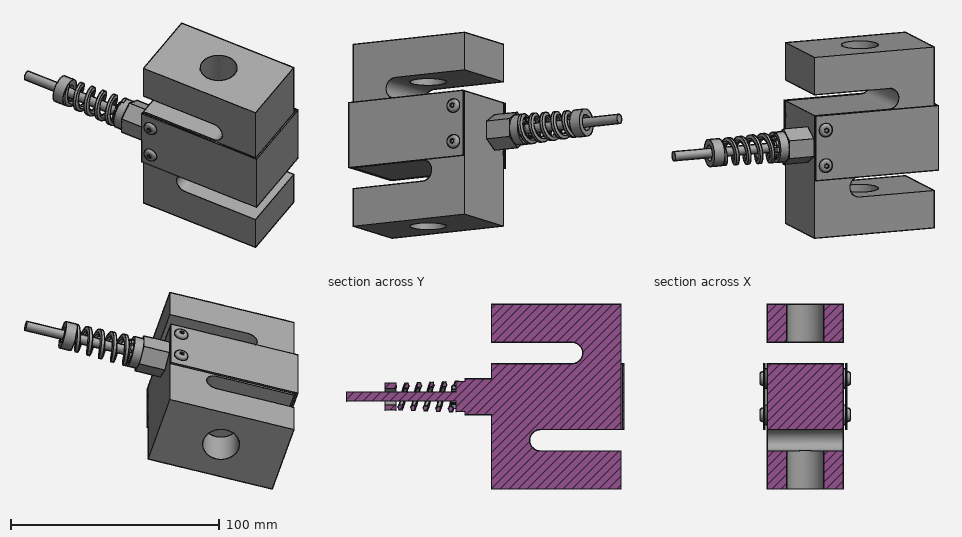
import cadquery as cq
import math


BLOCK_LENGTH = 62.23
BLOCK_WIDTH = 36.65
BLOCK_HEIGHT = 88.9
CORE_HEIGHT = 31.75
SLOT_WIDTH = 10.16
SLOT_DEPTH = 43.8
LOAD_HOLE_DIAMETER = 17.68
LEFT_FACE = -BLOCK_LENGTH / 2

COVER_WALL = 0.79
WASHER_THICKNESS = 0.89
COVER_END_GAP = 0.69
WASHER_DIAMETER = 9.53
SCREW_INSET = 5.08
SCREW_SPACING = 17.46
HEAD_DIAMETER = 6.66
HEAD_FLAT_DIAMETER = 3.79
HEAD_HEIGHT = 1.78
SOCKET_ACROSS_FLATS = 1.98
SOCKET_DEPTH = 1.0

GLAND_Y = -9.95
CABLE_DIAMETER = 4.57
HEX_ACROSS_FLATS = 15.1
HEX_LENGTH = 12.7
COLLAR_DIAMETER = 14.73
COLLAR_LENGTH = 4.4
FINGER_DIAMETER = 11.43
FINGER_LENGTH = 2.0
FINGER_CHAMFER = 0.75
FINGER_COUNT = 10
FINGER_GAP = 1.0
BORE_DIAMETER = 7.62
CABLE_LENGTH = 69.64

END_RING_DIAMETER = 13.21
END_RING_LENGTH = 5.4
END_RING_REACH = 51.2
COIL_PITCH = 6.05
COIL_TURNS = 5
COIL_OUTER_WIDTH = 1.4
COIL_RIDGE_WIDTH = 2.5
COIL_INNER_WIDTH = 1.6
COIL_RIDGE_DEPTH = 1.6
COIL_DEPTH = 2.6
COIL_END_REACH = 16.5
COIL_START_RADIUS = 6.42
COIL_END_RADIUS = 7.45


def block():
    body = cq.Workplane("XY").box(BLOCK_LENGTH, BLOCK_WIDTH, BLOCK_HEIGHT)
    slot_z = (CORE_HEIGHT + SLOT_WIDTH) / 2
    for side in (1, -1):
        slot = (
            cq.Workplane("XZ")
            .center(side * LEFT_FACE, side * slot_z)
            .slot2D(2 * SLOT_DEPTH, SLOT_WIDTH)
            .extrude(BLOCK_WIDTH, both=True)
        )
        body = body.cut(slot)
        arm_height = BLOCK_HEIGHT / 2 - CORE_HEIGHT / 2 - SLOT_WIDTH / 2
        hole = (
            cq.Workplane("XY", origin=(0, 0, side * BLOCK_HEIGHT / 2))
            .circle(LOAD_HOLE_DIAMETER / 2)
            .extrude(-side * arm_height)
        )
        body = body.cut(hole)
    return body


def cover():
    """U-shaped sheet around both sides and the +X end, open toward -X."""
    inside_length = BLOCK_LENGTH + COVER_END_GAP
    inside_width = BLOCK_WIDTH + 2 * WASHER_THICKNESS

    def slab(length, width):
        plane = cq.Workplane("XY", origin=(LEFT_FACE + length / 2, 0, 0))
        return plane.box(length, width, CORE_HEIGHT)

    outside = slab(inside_length + COVER_WALL, inside_width + 2 * COVER_WALL)
    return outside.cut(slab(inside_length, inside_width))


def screw():
    """Washer and button head standing on the XY plane, axis along +Z."""
    washer = cq.Workplane("XY").circle(WASHER_DIAMETER / 2).extrude(WASHER_THICKNESS)
    head_base = WASHER_THICKNESS + COVER_WALL
    head_round = (HEAD_DIAMETER - HEAD_FLAT_DIAMETER) / 2
    head = (
        cq.Workplane("XY")
        .workplane(offset=head_base)
        .circle(HEAD_DIAMETER / 2)
        .extrude(HEAD_HEIGHT)
        .faces(">Z")
        .edges()
        .fillet(head_round)
    )
    socket = (
        cq.Workplane("XY")
        .workplane(offset=head_base + HEAD_HEIGHT - SOCKET_DEPTH)
        .polygon(6, SOCKET_ACROSS_FLATS, circumscribed=True)
        .extrude(SOCKET_DEPTH)
    )
    return washer.union(head.cut(socket))


def fasteners():
    placed = cq.Workplane("XY")
    x = LEFT_FACE + SCREW_INSET
    for side in (1, -1):
        for level in (1, -1):
            turned = screw().rotate((0, 0, 0), (1, 0, 0), -side * 90)
            spot = (x, side * BLOCK_WIDTH / 2, level * SCREW_SPACING / 2)
            placed = placed.add(turned.translate(spot))
    return placed


def rod(diameter, start, length):
    """Cylinder along -X on the gland axis, starting `start` outside the left face."""
    plane = cq.Workplane("YZ", origin=(LEFT_FACE - start, GLAND_Y, 0))
    return plane.circle(diameter / 2).extrude(-length)


def gland():
    nut = (
        cq.Workplane("YZ", origin=(LEFT_FACE, GLAND_Y, 0))
        .polygon(6, HEX_ACROSS_FLATS, circumscribed=True)
        .extrude(-HEX_LENGTH)
    )
    collar = rod(COLLAR_DIAMETER, HEX_LENGTH, COLLAR_LENGTH)
    return nut.union(collar).union(fingers())


def fingers():
    """Ring of clamping fingers on the collar, chamfered at the tip."""
    base = HEX_LENGTH + COLLAR_LENGTH
    ring = rod(FINGER_DIAMETER, base, FINGER_LENGTH).faces("<X").edges().chamfer(FINGER_CHAMFER)
    ring = ring.cut(rod(BORE_DIAMETER, base, FINGER_LENGTH))
    gap = cq.Workplane("XY").box(FINGER_LENGTH, FINGER_GAP, FINGER_DIAMETER)
    gap = gap.translate((LEFT_FACE - base - FINGER_LENGTH / 2, GLAND_Y, FINGER_DIAMETER / 2))
    for index in range(FINGER_COUNT):
        angle = index * 360 / FINGER_COUNT
        ring = ring.cut(gap.rotate((0, GLAND_Y, 0), (1, GLAND_Y, 0), angle))
    return ring


def strain_relief():
    """End ring and a widening six-sided coil that ends on the gland collar."""
    ring = rod(END_RING_DIAMETER, END_RING_REACH - END_RING_LENGTH, END_RING_LENGTH)
    ring = ring.cut(rod(BORE_DIAMETER, END_RING_REACH - END_RING_LENGTH, END_RING_LENGTH))

    coil_length = COIL_PITCH * COIL_TURNS
    taper = math.degrees(math.atan2(COIL_END_RADIUS - COIL_START_RADIUS, coil_length))
    middle_radius = COIL_START_RADIUS - COIL_DEPTH / 2
    path = cq.Wire.makeHelix(COIL_PITCH, coil_length, middle_radius, angle=taper)
    outer = COIL_DEPTH / 2
    ridge = outer - COIL_RIDGE_DEPTH
    inner = -COIL_DEPTH / 2
    section = [
        (outer, COIL_OUTER_WIDTH / 2),
        (ridge, COIL_RIDGE_WIDTH / 2),
        (inner, COIL_INNER_WIDTH / 2),
        (inner, -COIL_INNER_WIDTH / 2),
        (ridge, -COIL_RIDGE_WIDTH / 2),
        (outer, -COIL_OUTER_WIDTH / 2),
    ]
    coil = (
        cq.Workplane("XZ")
        .center(middle_radius, 0)
        .polyline(section)
        .close()
        .sweep(cq.Workplane(path), isFrenet=True)
    )
    coil = coil.rotate((0, 0, 0), (0, 1, 0), 90).rotate((0, 0, 0), (1, 0, 0), 180)
    coil = coil.translate((LEFT_FACE - COIL_END_REACH - coil_length, GLAND_Y, 0))
    return ring.union(coil)


result = block().union(cover())
for fastener in fasteners().vals():
    result = result.union(cq.Workplane(fastener))
result = result.union(strain_relief().union(gland()))
result = result.union(rod(CABLE_DIAMETER, 0, CABLE_LENGTH))